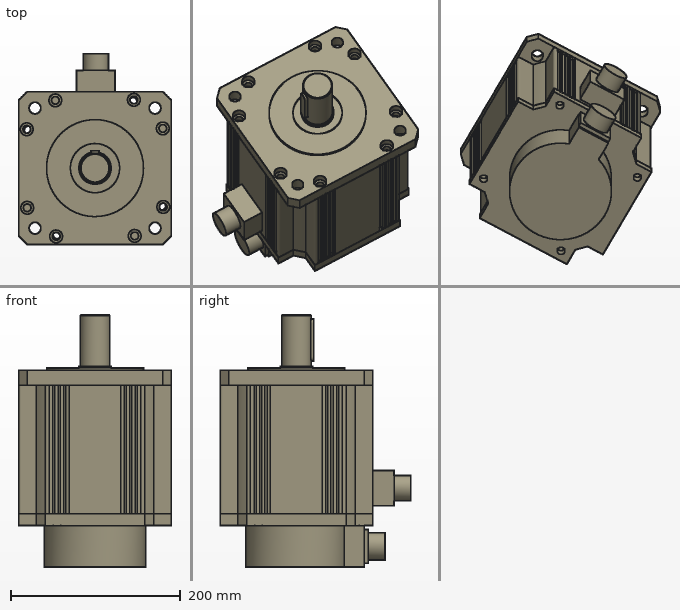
import cadquery as cq
import math


frame_size = 180.0
half_frame = frame_size / 2
flange_thickness = 18.0
housing_length = 151.0
plate_thickness = 14.0
cover_length = 49.0
flange_bottom = -flange_thickness
housing_bottom = flange_bottom - housing_length
plate_bottom = housing_bottom - plate_thickness
cover_bottom = plate_bottom - cover_length

flange_chamfer = 10.0
pilot_diameter = 114.3
pilot_height = 2.7
recess_diameter = 58.0
recess_depth = 1.8
recess_floor = pilot_height - recess_depth
mount_hole_circle = 200.0
mount_hole_diameter = 13.5

tie_hole_radius = 92.5
tie_hole_turn = 30.36
tie_hole_step = 30.0
tie_hole_diameter = 9.0
tie_head_diameter = 15.0
tie_head_depth = 9.5
through_hole_radius = 90.5

arm_half_width = 58.8
notch_edge = 69.4
notch_arc_radius = math.hypot(arm_half_width, notch_edge)
arm_round = 3.0

groove_spans = [(37.1, 40.7), (43.4, 47.6), (49.7, 54.1)]
groove_depth = 2.5

ramp_span = (30.6, 34.5)
ramp_inner_depth = 3.2
ramp_outer_depth = 4.6

shaft_diameter = 35.0
shaft_top = 65.0
shaft_chamfer = 1.0
collar_diameter = 38.0
collar_top = 4.5
key_width = 10.0
key_height = 8.0
key_length = 50.0
key_outer_face = 20.5
key_bottom = 10.5

cover_radius = 60.0
cover_box_width = 40.0
cover_box_reach = 80.0
socket_size = cover_box_width
socket_thickness = 4.8
encoder_plug_diameter = 32.5
encoder_plug_length = 19.6
encoder_plug_z = plate_bottom - cover_length / 2

power_x = 1.0
power_z = -139.0
power_box_width = 45.7
power_box_height = 42.0
power_box_depth = 25.0
power_plug_diameter = 30.0
power_plug_end = 134.92


def block(x_size, y_start, y_end, z_size, x_middle, z_middle):
    """Box between two Y positions, centred on a line along Y."""
    return cq.Workplane("XY").box(x_size, y_end - y_start, z_size).translate(
        (x_middle, (y_start + y_end) / 2, z_middle)
    )


def rod_along_y(diameter, y_start, y_end, x_middle, z_middle):
    """Cylinder between two Y positions, along Y."""
    start = cq.Vector(x_middle, y_start, z_middle)
    rod = cq.Solid.makeCylinder(diameter / 2, y_end - y_start, start, cq.Vector(0, 1, 0))
    return cq.Workplane("XY").newObject([rod])


def polar_points(radius, angles):
    return [
        (radius * math.cos(math.radians(a)), radius * math.sin(math.radians(a)))
        for a in angles
    ]


quarter_turns = [0, 90, 180, 270]
blind_angles = [tie_hole_turn + a for a in quarter_turns]
through_angles = [a + tie_hole_step for a in blind_angles]


def make_flange():
    flange = (
        cq.Workplane("XY", origin=(0, 0, flange_bottom))
        .rect(frame_size, frame_size)
        .extrude(flange_thickness)
        .edges("|Z")
        .chamfer(flange_chamfer)
    )
    pilot = cq.Workplane("XY").circle(pilot_diameter / 2).extrude(pilot_height)
    recess = (
        cq.Workplane("XY", origin=(0, 0, recess_floor))
        .circle(recess_diameter / 2)
        .extrude(recess_depth)
    )
    mount_holes = (
        cq.Workplane("XY")
        .pushPoints(polar_points(mount_hole_circle / 2, [45 + a for a in quarter_turns]))
        .circle(mount_hole_diameter / 2)
        .extrude(flange_bottom)
    )
    tie_points = polar_points(tie_hole_radius, blind_angles + through_angles)
    tie_holes = (
        cq.Workplane("XY").pushPoints(tie_points).circle(tie_hole_diameter / 2).extrude(flange_bottom)
    )
    tie_heads = (
        cq.Workplane("XY").pushPoints(tie_points).circle(tie_head_diameter / 2).extrude(-tie_head_depth)
    )
    bore = (
        cq.Workplane("XY", origin=(0, 0, flange_bottom))
        .circle(collar_diameter / 2)
        .extrude(flange_thickness + pilot_height)
    )
    return flange.union(pilot).cut(bore).cut(recess).cut(mount_holes).cut(tie_holes).cut(tie_heads)


def notched_square(bottom, height, arched):
    """Square prism with a notch in each corner; the notch floor is arched or flat."""
    prism = (
        cq.Workplane("XY", origin=(0, 0, bottom)).rect(frame_size, frame_size).extrude(height)
    )
    floor_start = (arm_half_width, notch_edge)
    floor_end = (notch_edge, arm_half_width)
    outline = (
        cq.Workplane("XY", origin=(0, 0, bottom))
        .moveTo(*floor_end)
        .lineTo(half_frame, arm_half_width)
        .lineTo(half_frame, half_frame)
        .lineTo(arm_half_width, half_frame)
        .lineTo(*floor_start)
    )
    if arched:
        crown = notch_arc_radius / math.sqrt(2)
        outline = outline.threePointArc((crown, crown), floor_end)
    notch = outline.close().extrude(height)
    for turn in quarter_turns:
        prism = prism.cut(notch.rotate((0, 0, 0), (0, 0, 1), turn))
    return prism


def is_arm_corner(edge):
    middle = edge.Center()
    return max(abs(middle.x), abs(middle.y)) > half_frame - arm_round


def make_face_grooves():
    """Groove cutters for the right half of the +Y face of the housing."""
    profile = cq.Workplane("XY", origin=(0, 0, housing_bottom))
    for inner, outer in groove_spans:
        profile = profile.moveTo((inner + outer) / 2, half_frame).rect(outer - inner, 2 * groove_depth)
    ramp_inner, ramp_outer = ramp_span
    ramp_points = [
        (ramp_inner, half_frame),
        (ramp_inner, half_frame - ramp_inner_depth),
        (ramp_outer, half_frame - ramp_outer_depth),
        (ramp_outer, half_frame),
    ]
    ramp = cq.Workplane("XY", origin=(0, 0, housing_bottom)).polyline(ramp_points).close()
    return profile.extrude(housing_length).add(ramp.extrude(housing_length)).combine()


def make_through_holes():
    """Holes that run on from every other tie hole through the housing and the plate."""
    return (
        cq.Workplane("XY", origin=(0, 0, plate_bottom))
        .pushPoints(polar_points(through_hole_radius, through_angles))
        .circle(tie_hole_diameter / 2)
        .extrude(flange_bottom - plate_bottom)
    )


def make_housing():
    housing = notched_square(housing_bottom, housing_length, arched=True)
    housing = housing.edges("|Z").filter(is_arm_corner).fillet(arm_round)
    right_grooves = make_face_grooves()
    for turn in quarter_turns:
        for grooves in (right_grooves, right_grooves.mirror("YZ")):
            housing = housing.cut(grooves.rotate((0, 0, 0), (0, 0, 1), turn))
    return housing.cut(make_through_holes())


def make_rear_plate():
    plate = notched_square(plate_bottom, plate_thickness, arched=False)
    return plate.cut(make_through_holes())


def make_encoder_cover():
    drum = cq.Workplane("XY", origin=(0, 0, cover_bottom)).circle(cover_radius).extrude(cover_length)
    box = block(cover_box_width, 0, cover_box_reach, cover_length, 0, encoder_plug_z)
    return drum.union(box)


def make_encoder_connector():
    socket_face = cover_box_reach + socket_thickness
    socket = block(socket_size, cover_box_reach, socket_face, socket_size, 0, encoder_plug_z)
    plug_end = socket_face + encoder_plug_length
    plug = rod_along_y(encoder_plug_diameter, socket_face, plug_end, 0, encoder_plug_z)
    return socket.union(plug)


def make_power_connector():
    box_face = half_frame + power_box_depth
    box = block(power_box_width, half_frame, box_face, power_box_height, power_x, power_z)
    plug = rod_along_y(power_plug_diameter, box_face, power_plug_end, power_x, power_z)
    return box.union(plug)


def make_key():
    return (
        cq.Workplane("XZ", origin=(0, key_outer_face, key_bottom + key_length / 2))
        .slot2D(key_length, key_width, 90)
        .extrude(key_height)
    )


def make_shaft(key):
    collar = (
        cq.Workplane("XY", origin=(0, 0, flange_bottom))
        .circle(collar_diameter / 2)
        .extrude(collar_top - flange_bottom)
    )
    journal = (
        cq.Workplane("XY", origin=(0, 0, collar_top))
        .circle(shaft_diameter / 2)
        .extrude(shaft_top - collar_top)
        .faces(">Z")
        .chamfer(shaft_chamfer)
    )
    return collar.union(journal).cut(key)


flange = make_flange()
housing = make_housing()
rear_plate = make_rear_plate()
encoder_cover = make_encoder_cover()
encoder_connector = make_encoder_connector()
power_connector = make_power_connector()
key = make_key()
shaft = make_shaft(key)

result = cq.Compound.makeCompound(
    [
        flange.val(),
        housing.val(),
        rear_plate.val(),
        encoder_cover.val(),
        encoder_connector.val(),
        power_connector.val(),
        key.val(),
        shaft.val(),
    ]
)